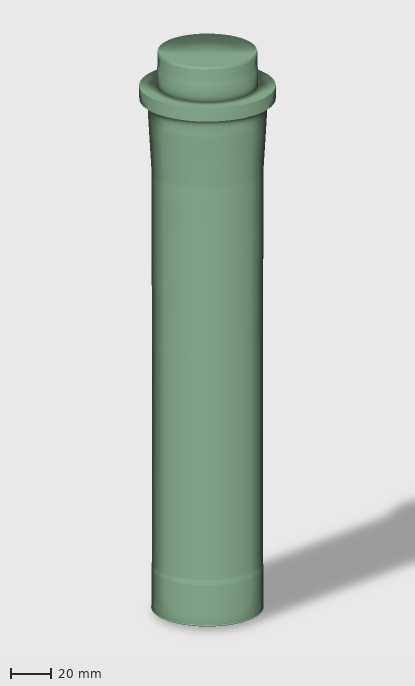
import cadquery as cq
import math

total_height = 296.3
cap_middle = 2.7
collar_top = 24.0
collar_slope_top = 26.7
taper_bottom = 140.0
band_bottom = 228.5
band_top = 233.8
shoulder_bottom = 261.0
flange_bottom = 271.0
flange_top = 278.0
neck_top = 286.0
neck_slope_top = 288.5

tube_diameter = 55.0
collar_diameter = 55.7
cap_diameter = 56.0
shoulder_diameter = 59.0
flange_diameter = 68.0
neck_diameter = 50.0
tip_diameter = 49.8

bevel_height = 1.2
bevel_inset = 0.3

collar_radius = collar_diameter / 2
tube_radius = tube_diameter / 2
cap_radius = cap_diameter / 2

contact_angle = math.degrees(math.acos(collar_radius / cap_radius))
cap_top = cap_middle * (1 + math.sin(math.radians(contact_angle)))


def revolve_about_z(profile):
    """Turn a closed radius-height profile into a round solid."""
    return profile.close().revolve(360, (0, 0, 0), (0, 1, 0))


def make_barrel():
    """Long stepped barrel with collar, tapers, flange and neck."""
    shoulder_radius = shoulder_diameter / 2
    flange_radius = flange_diameter / 2
    neck_radius = neck_diameter / 2
    tip_radius = tip_diameter / 2
    profile = (
        cq.Workplane("XZ")
        .moveTo(0, cap_top)
        .lineTo(collar_radius, cap_top)
        .lineTo(collar_radius, collar_top)
        .lineTo(tube_radius, collar_slope_top)
        .lineTo(tube_radius, taper_bottom)
        .lineTo(collar_radius, band_bottom)
        .lineTo(collar_radius, band_top)
        .lineTo(shoulder_radius, shoulder_bottom)
        .lineTo(shoulder_radius, flange_bottom)
        .lineTo(flange_radius, flange_bottom)
        .lineTo(flange_radius, flange_top)
        .lineTo(neck_radius, flange_top)
        .lineTo(neck_radius, neck_top)
        .lineTo(tip_radius, neck_slope_top)
        .lineTo(tip_radius, total_height - bevel_height)
        .lineTo(tip_radius - bevel_inset, total_height)
        .lineTo(0, total_height)
    )
    return revolve_about_z(profile)


def make_end_cap():
    """Thin cap under the barrel: flat top, with an elliptical rim and underside."""
    profile = (
        cq.Workplane("XZ")
        .moveTo(0, 0)
        .ellipseArc(cap_radius, cap_middle, -90, contact_angle, startAtCurrent=True)
        .lineTo(0, cap_top)
    )
    return revolve_about_z(profile)


barrel = make_barrel()
end_cap = make_end_cap()

result = cq.Compound.makeCompound([barrel.val(), end_cap.val()])